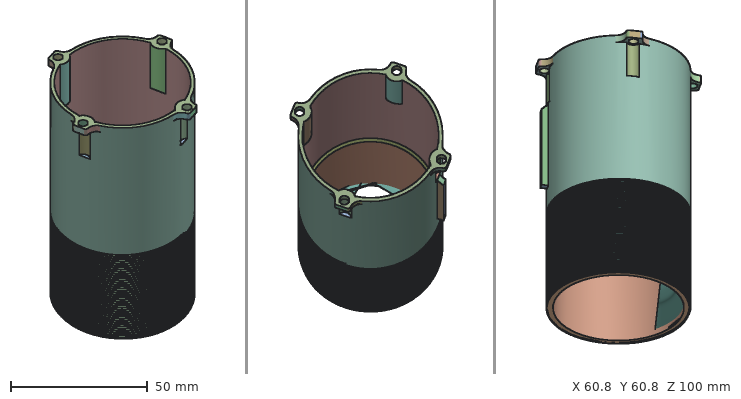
import cadquery as cq
import math

height = 100.0
outer_radius = 26.5
bore_radius = 25.0
lower_bore_radius = 24.0
step_bottom = 40.0

thread_length = 40.0
thread_pitch = 1.0
thread_depth = 0.6
groove_mouth = 0.8
groove_root = 0.2
groove_overlap = 0.1

lug_count = 4
lug_reach = 30.4
lug_flat_half_width = 2.1
lug_thickness = 3.0
lug_corner_radius = 1.0
lug_root_fillet = 4.0

screw_circle_radius = 27.7
screw_hole_radius = 1.8
boss_radius = 4.4
boss_length = 20.0
relief_radius = 2.7
relief_depth = 17.0

key_width = 2.5
key_reach = 29.0
key_bottom = 48.0
key_top = 82.5


def cylinder(radius, bottom, top):
    return cq.Workplane("XY").workplane(offset=bottom).circle(radius).extrude(top - bottom)


def on_screw_axis(radius, bottom, top):
    """Upright cylinder on the screw axis at the +X side."""
    return cylinder(radius, bottom, top).translate((screw_circle_radius, 0, 0))


def make_lug():
    """Lug on the +X side: round outer corners flow into fillets that meet the tube."""
    corner_x = lug_reach - lug_corner_radius
    corner_y = lug_flat_half_width
    corner_distance = math.hypot(corner_x, corner_y)

    fillet_distance = outer_radius + lug_root_fillet
    centre_gap = lug_corner_radius + lug_root_fillet
    angle_from_corner = math.acos(
        (fillet_distance**2 + corner_distance**2 - centre_gap**2) / (2 * fillet_distance * corner_distance)
    )
    fillet_angle = math.atan2(corner_y, corner_x) + angle_from_corner
    fillet_x = fillet_distance * math.cos(fillet_angle)
    fillet_y = fillet_distance * math.sin(fillet_angle)

    along_gap = lug_corner_radius / centre_gap
    joint_x = corner_x + (fillet_x - corner_x) * along_gap
    joint_y = corner_y + (fillet_y - corner_y) * along_gap
    tube_x = outer_radius * math.cos(fillet_angle)
    tube_y = outer_radius * math.sin(fillet_angle)
    return (
        cq.Workplane("XY")
        .workplane(offset=height - lug_thickness)
        .moveTo(bore_radius, -tube_y)
        .lineTo(tube_x, -tube_y)
        .radiusArc((joint_x, -joint_y), lug_root_fillet)
        .radiusArc((lug_reach, -corner_y), -lug_corner_radius)
        .lineTo(lug_reach, corner_y)
        .radiusArc((joint_x, joint_y), -lug_corner_radius)
        .radiusArc((tube_x, tube_y), lug_root_fillet)
        .lineTo(bore_radius, tube_y)
        .close()
        .extrude(lug_thickness)
    )


def make_key():
    """Upright key with a 45 degree lead-in at its top."""
    lead_in = key_reach - outer_radius
    wall_middle = (outer_radius + bore_radius) / 2
    return (
        cq.Workplane("YZ")
        .moveTo(wall_middle, key_bottom)
        .lineTo(key_reach, key_bottom)
        .lineTo(key_reach, key_top - lead_in)
        .lineTo(outer_radius, key_top)
        .lineTo(wall_middle, key_top)
        .close()
        .extrude(key_width / 2, both=True)
    )


def make_thread_groove():
    """Right-hand helical groove, running out through the bottom face."""
    start = -thread_pitch
    groove_height = thread_length + thread_pitch / 2
    path = cq.Wire.makeHelix(thread_pitch, groove_height, outer_radius, cq.Vector(0, 0, start))
    slope = (groove_mouth - groove_root) / 2 / thread_depth
    half_outer = groove_mouth / 2 + slope * groove_overlap
    profile = (
        cq.Workplane("XZ")
        .moveTo(outer_radius - thread_depth, start - groove_root / 2)
        .lineTo(outer_radius + groove_overlap, start - half_outer)
        .lineTo(outer_radius + groove_overlap, start + half_outer)
        .lineTo(outer_radius - thread_depth, start + groove_root / 2)
        .close()
    )
    groove = profile.sweep(cq.Workplane(obj=path), isFrenet=True)
    return groove.rotate((0, 0, 0), (0, 0, 1), 180)


def make_boss():
    """Boss on the +X side; below its length a 45 degree underside runs down to the wall."""
    nose = screw_circle_radius - boss_radius
    nose_bottom = height - boss_length
    wall_bottom = nose_bottom - (bore_radius - nose)
    column = on_screw_axis(boss_radius, wall_bottom, height)
    underside = (
        cq.Workplane("XZ")
        .moveTo(nose, nose_bottom)
        .lineTo(bore_radius, wall_bottom)
        .lineTo(nose, wall_bottom)
        .close()
        .extrude(boss_radius, both=True)
    )
    return column.cut(underside)


def make_bore():
    """Bore that is narrower over the threaded length, with a conical step."""
    step_top = step_bottom + bore_radius - lower_bore_radius
    return (
        cq.Workplane("XZ")
        .lineTo(lower_bore_radius, 0)
        .lineTo(lower_bore_radius, step_bottom)
        .lineTo(bore_radius, step_top)
        .lineTo(bore_radius, height)
        .lineTo(0, height)
        .close()
        .revolve(360, (0, 0, 0), (0, 1, 0))
    )


def around_tube(feature):
    """Copies of a feature at equal angles around the tube axis."""
    copies = cq.Workplane("XY")
    for index in range(lug_count):
        copies = copies.add(feature.rotate((0, 0, 0), (0, 0, 1), index * 360 / lug_count))
    return copies.combine()


tube = cylinder(outer_radius, 0, height).union(around_tube(make_lug())).union(make_key())
tube = tube.cut(make_bore().cut(around_tube(make_boss())))
relief = on_screw_axis(relief_radius, height - relief_depth, height - lug_thickness)
screw_hole = on_screw_axis(screw_hole_radius, height - lug_thickness, height)
tube = tube.cut(around_tube(relief)).cut(around_tube(screw_hole))
result = tube.cut(make_thread_groove())